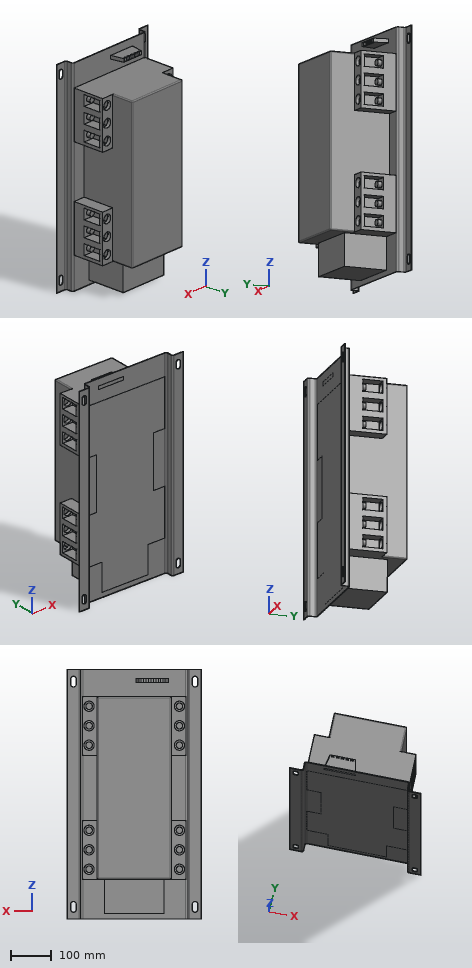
import cadquery as cq

pan_length = 615.0
pan_width = 330.0
sheet = 2.0
pan_height = 25.0
wall_span = 264.5
bend_radius = 3.5

slot_width = 13.0
slot_length = 26.0
slot_inset = 15.5
slot_end_distance = 30.0

housing_width = 182.5
housing_depth = 187.0
housing_bottom = 98.0
housing_top = 548.0
housing_round = 3.0

lower_width = 147.5
lower_depth = 140.0
lower_bottom = 13.5

block_width = 256.0
block_depth = 121.0
block_height = 144.5

window_pitch = 48.0
window_height = 31.5
window_raise = 0.5
window_back = 59.0
window_front = 111.5
window_depth = 32.0

screw_inset = 16.5
screw_diameter = 16.0
screw_length = 11.5
access_diameter = 25.0

tab_center_x = -44.0
tab_root_width = 79.5
tab_tip_width = 64.0
tab_tip = 62.0
tab_thickness = 10.0
tab_bottom = 583.0
tab_slot_count = 5
tab_slot_span = 48.0
tab_slot_width = 6.0
tab_slot_height = 2.5
tab_slot_inset = 2.0


def block(width, back, front, bottom, top, center_x=0.0):
    """Box centred on center_x, from back to front along Y and bottom to top along Z."""
    return cq.Workplane("XY").box(
        width, front - back, top - bottom, centered=(True, False, False)
    ).translate((center_x, back, bottom))


def rod(diameter, back, front, x, z):
    """Round rod along Y."""
    return (
        cq.Workplane("XZ", origin=(x, back, z))
        .circle(diameter / 2)
        .extrude(back - front)
    )


def make_pan():
    half_width = pan_width / 2
    half_wall = wall_span / 2
    outline = [
        (-half_width, 0),
        (-half_wall + sheet, 0),
        (-half_wall + sheet, pan_height - sheet),
        (half_wall - sheet, pan_height - sheet),
        (half_wall - sheet, 0),
        (half_width, 0),
        (half_width, sheet),
        (half_wall, sheet),
        (half_wall, pan_height),
        (-half_wall, pan_height),
        (-half_wall, sheet),
        (-half_width, sheet),
    ]
    pan = cq.Workplane("XY").polyline(outline).close().extrude(pan_length)

    outer_radius = bend_radius + sheet
    for side in (-1, 1):
        outer_x = side * half_wall
        inner_x = side * (half_wall - sheet)
        corners = [
            (inner_x, 0, outer_radius),
            (outer_x, sheet, bend_radius),
            (inner_x, pan_height - sheet, bend_radius),
            (outer_x, pan_height, outer_radius),
        ]
        for x, y, radius in corners:
            corner = cq.selectors.NearestToPointSelector((x, y, pan_length / 2))
            pan = pan.edges(corner).fillet(radius)

    slot_x = pan_width / 2 - slot_inset
    slots = (
        cq.Workplane("XZ")
        .pushPoints([
            (x, z)
            for x in (-slot_x, slot_x)
            for z in (slot_end_distance, pan_length - slot_end_distance)
        ])
        .slot2D(slot_length, slot_width, 90)
        .extrude(-sheet)
    )
    return pan.cut(slots)


def make_terminal_block(bottom):
    """Terminal block across the housing with three windows in each outer side."""
    body = block(block_width, pan_height, block_depth, bottom, bottom + block_height)
    middle = bottom + block_height / 2 + window_raise
    for side in (-1, 1):
        window_x = side * (block_width - window_depth) / 2
        screw_x = side * (block_width / 2 - screw_inset)
        for step in (-1, 0, 1):
            z = middle + step * window_pitch
            window = block(
                window_depth, window_back, window_front,
                z - window_height / 2, z + window_height / 2, window_x,
            )
            access_hole = rod(access_diameter, window_front, block_depth, screw_x, z)
            screw = rod(screw_diameter, window_back, window_back + screw_length, screw_x, z)
            body = body.cut(window).cut(access_hole).union(screw)
    return body


def make_tab():
    """Tapered connector tab with a row of narrow slots along its tip."""
    tab = (
        cq.Workplane("XY", origin=(tab_center_x, 0, tab_bottom))
        .polyline([
            (-tab_root_width / 2, pan_height),
            (tab_root_width / 2, pan_height),
            (tab_tip_width / 2, tab_tip),
            (-tab_tip_width / 2, tab_tip),
        ])
        .close()
        .extrude(tab_thickness)
    )
    slot_front = tab_tip - tab_slot_inset
    for index in range(tab_slot_count):
        x = tab_center_x + (index / (tab_slot_count - 1) - 0.5) * tab_slot_span
        tab = tab.cut(block(
            tab_slot_width, slot_front - tab_slot_height, slot_front,
            tab_bottom, tab_bottom + tab_thickness, x,
        ))
    return tab


housing = (
    block(housing_width, pan_height, housing_depth, housing_bottom, housing_top)
    .edges(">Y or (|Y and >Z) or (|Y and <Z)")
    .fillet(housing_round)
)
lower_housing = block(lower_width, pan_height, lower_depth, lower_bottom, housing_bottom)

result = make_pan().union(housing).union(lower_housing)
for block_bottom in (housing_bottom, housing_top - block_height):
    result = result.union(make_terminal_block(block_bottom))
result = result.union(make_tab())